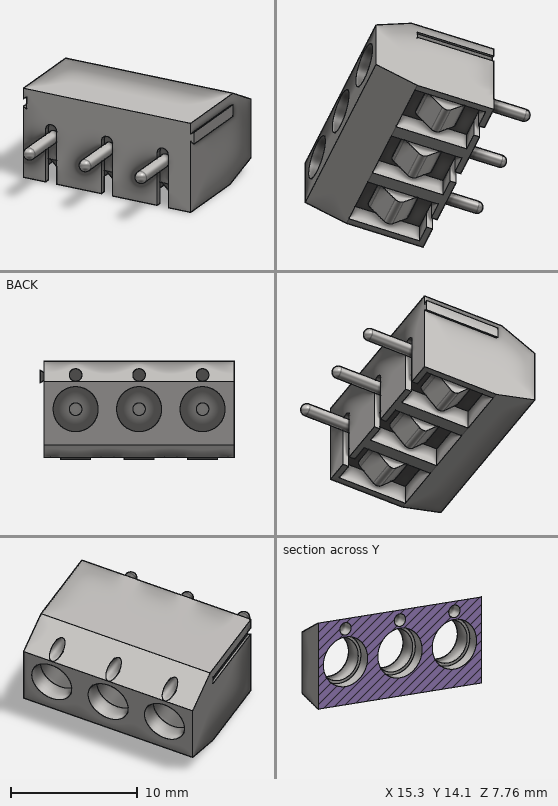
import cadquery as cq
import math


POLE_COUNT = 3
POLE_PITCH = 5.0

BODY_WIDTH = 15.0
BODY_DEPTH = 10.0
BODY_HEIGHT = 7.61
TOP_BEVEL_DEPTH = 3.0
TOP_BEVEL_HEIGHT = 1.6
BOTTOM_BEVEL_DEPTH = 3.5
BOTTOM_BEVEL_HEIGHT = 1.01
FLAT_BOTTOM_DEPTH = BODY_DEPTH - BOTTOM_BEVEL_DEPTH

DOVETAIL_DEPTH = 0.29
DOVETAIL_LENGTH = 6.5
DOVETAIL_NARROW = 0.64
DOVETAIL_WIDE = 1.0
DOVETAIL_Z = 6.39

PIN_DIAMETER = 1.0
PIN_PROJECTION = 4.05
CONTACT_Z = 3.82

FRONT_WALL = 0.5
SLOT_WIDTH = PIN_DIAMETER
SLOT_TOP = 5.0
POCKET_WIDTH = 3.99
POCKET_HEIGHT = 1.8

HOLE_FLOOR_Y = FLAT_BOTTOM_DEPTH
SCREW_MOUTH_DIAMETER = 3.55
SCREW_MOUTH_DEPTH = 1.51
SCREW_BORE_DIAMETER = 4.02
PROBE_DIAMETER = 1.0
PROBE_Z = 6.51

CLAMP_WIDTH = 2.37
CLAMP_Y = 3.49
CLAMP_CORNER_RADIUS = 0.5
CLAMP_CORNER_SPACING = 1.2
CLAMP_PROJECTION = 0.15

POLE_POSITIONS = [BODY_WIDTH / 2 + (i - (POLE_COUNT - 1) / 2) * POLE_PITCH for i in range(POLE_COUNT)]


def cylinder_along_y(diameter, x, z, y_start, y_end):
    """Cylinder parallel to Y between two Y positions."""
    length = y_end - y_start
    start = cq.Vector(x, y_start, z)
    return cq.Workplane(cq.Solid.makeCylinder(diameter / 2, length, start, cq.Vector(0, 1, 0)))


def housing_blank():
    """Side profile with both back edges bevelled, extruded along X."""
    profile = [
        (0, 0),
        (FLAT_BOTTOM_DEPTH, 0),
        (BODY_DEPTH, BOTTOM_BEVEL_HEIGHT),
        (BODY_DEPTH, BODY_HEIGHT - TOP_BEVEL_HEIGHT),
        (BODY_DEPTH - TOP_BEVEL_DEPTH, BODY_HEIGHT),
        (0, BODY_HEIGHT),
    ]
    return cq.Workplane("YZ").polyline(profile).close().extrude(BODY_WIDTH)


def dovetail(x):
    """Dovetail bar that starts narrow at x and widens toward +X."""
    profile = [
        (x, DOVETAIL_Z - DOVETAIL_NARROW / 2),
        (x + DOVETAIL_DEPTH, DOVETAIL_Z - DOVETAIL_WIDE / 2),
        (x + DOVETAIL_DEPTH, DOVETAIL_Z + DOVETAIL_WIDE / 2),
        (x, DOVETAIL_Z + DOVETAIL_NARROW / 2),
    ]
    return cq.Workplane("XZ").polyline(profile).close().extrude(-DOVETAIL_LENGTH)


def pin_slot(x):
    """Round-topped slot through the front wall, open at the bottom."""
    radius = SLOT_WIDTH / 2
    return (
        cq.Workplane("XZ")
        .moveTo(x - radius, 0)
        .lineTo(x - radius, SLOT_TOP - radius)
        .threePointArc((x, SLOT_TOP), (x + radius, SLOT_TOP - radius))
        .lineTo(x + radius, 0)
        .close()
        .extrude(-FRONT_WALL)
    )


def wire_pocket(x):
    """Rectangular pocket behind the front wall, open at the bottom."""
    pocket_length = FLAT_BOTTOM_DEPTH - FRONT_WALL
    pocket = cq.Workplane("XY").box(POCKET_WIDTH, pocket_length, POCKET_HEIGHT, centered=(True, False, False))
    return pocket.translate((x, FRONT_WALL, 0))


def screw_hole(x):
    """Hole with a narrower mouth at the back face."""
    step_y = BODY_DEPTH - SCREW_MOUTH_DEPTH
    bore = cylinder_along_y(SCREW_BORE_DIAMETER, x, CONTACT_Z, HOLE_FLOOR_Y, step_y)
    mouth = cylinder_along_y(SCREW_MOUTH_DIAMETER, x, CONTACT_Z, step_y, BODY_DEPTH)
    return bore.union(mouth)


def probe_hole(x):
    """Small hole that breaks out through the top bevel."""
    return cylinder_along_y(PROBE_DIAMETER, x, PROBE_Z, HOLE_FLOOR_Y, BODY_DEPTH)


def pin_seat(x):
    """Hole that holds the pin between the slot and the screw hole."""
    return cylinder_along_y(PIN_DIAMETER, x, CONTACT_Z, FRONT_WALL, HOLE_FLOOR_Y)


def make_housing():
    body = housing_blank().union(dovetail(BODY_WIDTH)).cut(dovetail(0))
    for x in POLE_POSITIONS:
        for opening in (pin_slot, wire_pocket, screw_hole, probe_hole, pin_seat):
            body = body.cut(opening(x))
    return body


def make_pin(x):
    """Round pin with a hemispherical tip, ending at the floor of the screw hole."""
    radius = PIN_DIAMETER / 2
    shoulder_y = radius - PIN_PROJECTION
    shank = cylinder_along_y(PIN_DIAMETER, x, CONTACT_Z, shoulder_y, HOLE_FLOOR_Y)
    tip = cq.Workplane("XY").sphere(radius).translate((x, shoulder_y, CONTACT_Z))
    return shank.union(tip)


def make_clamp(x):
    """Bar along X that hangs from the pocket ceiling and points down below the housing."""
    low_z = CLAMP_CORNER_RADIUS - CLAMP_PROJECTION
    side_z = low_z + CLAMP_CORNER_SPACING
    diagonal = CLAMP_CORNER_RADIUS * math.sqrt(0.5)
    side_y = CLAMP_CORNER_SPACING + diagonal
    top_y = CLAMP_CORNER_SPACING + math.sqrt(CLAMP_CORNER_RADIUS**2 - (POCKET_HEIGHT - side_z) ** 2)
    outermost_y = CLAMP_CORNER_SPACING + CLAMP_CORNER_RADIUS
    return (
        cq.Workplane("YZ")
        .moveTo(CLAMP_Y - top_y, POCKET_HEIGHT)
        .threePointArc((CLAMP_Y - outermost_y, side_z), (CLAMP_Y - side_y, side_z - diagonal))
        .lineTo(CLAMP_Y - diagonal, low_z - diagonal)
        .threePointArc((CLAMP_Y, -CLAMP_PROJECTION), (CLAMP_Y + diagonal, low_z - diagonal))
        .lineTo(CLAMP_Y + side_y, side_z - diagonal)
        .threePointArc((CLAMP_Y + outermost_y, side_z), (CLAMP_Y + top_y, POCKET_HEIGHT))
        .close()
        .extrude(CLAMP_WIDTH / 2, both=True)
        .translate((x, 0, 0))
    )


housing = make_housing()
pins = [make_pin(x) for x in POLE_POSITIONS]
clamps = [make_clamp(x) for x in POLE_POSITIONS]

result = cq.Compound.makeCompound(
    [
        housing.val(),
        *[pin.val() for pin in pins],
        *[clamp.val() for clamp in clamps],
    ]
)